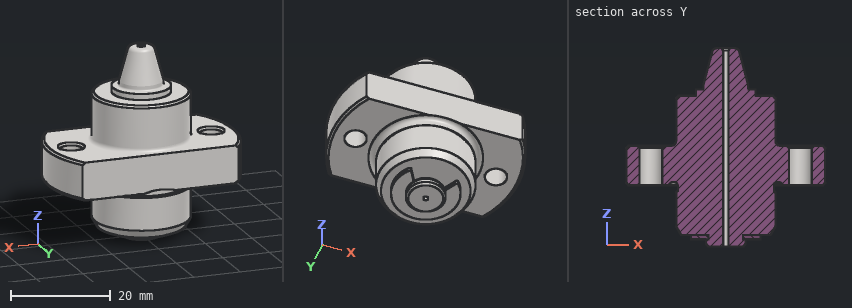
import cadquery as cq
import math


FLANGE_DIAMETER = 40.0
FLANGE_WIDTH = 22.0
FLANGE_THICKNESS = 8.0
EDGE_CHAMFER = 0.5

SCREW_HOLE_SPACING = 30.0
SCREW_HOLE_DIAMETER = 4.5
COUNTERSINK_ANGLE = 90.0

CENTRING_DIAMETER = 20.0
CENTRING_TOP = 18.0
CENTRING_BOTTOM = -10.0
FLANGE_FILLET = 1.0
LEAD_IN_WIDTH = 1.0
LEAD_IN_ANGLE = 30.0

RELIEF_DEPTH = 0.3
RELIEF_RADIUS = 0.8
RELIEF_CENTRE_Z = -0.1
RELIEF_BOTTOM = -1.1

COLLAR_DIAMETER = 12.0
COLLAR_TOP = 19.3
TIP_ROOT_DIAMETER = 9.0
TIP_ROOT_FILLET = 0.4
CONE_BOTTOM = 20.35
CONE_ANGLE = 15.0
TIP_ROUNDING = 1.0
TIP_TOP = 27.6

BORE_DIAMETER = 1.0
MOUTH_DIAMETER = 1.6
MOUTH_ANGLE = 30.0

STUB_DIAMETER = 8.0
STUB_BOTTOM = -12.3
GROOVE_DIAMETER = 7.0

CLIP_DIAMETER = 14.0
CLIP_THICKNESS = 0.85
CLIP_OPENING_ANGLE = 60.0
CLIP_MOUTH_HALF_WIDTH = 3.1
CLIP_CORNER_RADIUS = 0.3

GROOVE_BOTTOM = CENTRING_BOTTOM - CLIP_THICKNESS


def point_on_circle(centre, radius, degrees):
    """Point at the given angle on a circle in a sketch plane."""
    angle = math.radians(degrees)
    return (centre[0] + radius * math.cos(angle), centre[1] + radius * math.sin(angle))


def add_arc(sketch, centre, radius, start_degrees, end_degrees):
    """Draw a line to the start of a circular arc, then the arc itself."""
    middle_degrees = (start_degrees + end_degrees) / 2
    return sketch.lineTo(*point_on_circle(centre, radius, start_degrees)).threePointArc(
        point_on_circle(centre, radius, middle_degrees),
        point_on_circle(centre, radius, end_degrees),
    )


def add_stub(sketch):
    """Outline from the bore up the stub to the centring cylinder's end face."""
    radius = STUB_DIAMETER / 2
    groove_radius = GROOVE_DIAMETER / 2
    return (
        sketch.moveTo(BORE_DIAMETER / 2, STUB_BOTTOM)
        .lineTo(radius - EDGE_CHAMFER, STUB_BOTTOM)
        .lineTo(radius, STUB_BOTTOM + EDGE_CHAMFER)
        .lineTo(radius, GROOVE_BOTTOM)
        .lineTo(groove_radius, GROOVE_BOTTOM)
        .lineTo(groove_radius, CENTRING_BOTTOM)
    )


def add_lower_centring(sketch):
    """Outline of the lower cylinder with its lead-in taper and relief groove."""
    radius = CENTRING_DIAMETER / 2
    relief_floor = radius - RELIEF_DEPTH
    lead_in_height = LEAD_IN_WIDTH / math.tan(math.radians(LEAD_IN_ANGLE))
    relief_centre = (relief_floor + RELIEF_RADIUS, RELIEF_CENTRE_Z)
    relief_rim = relief_centre[0] + RELIEF_RADIUS * math.sqrt(2) + RELIEF_CENTRE_Z
    sketch = (
        sketch.lineTo(radius - LEAD_IN_WIDTH, CENTRING_BOTTOM)
        .lineTo(radius, CENTRING_BOTTOM + lead_in_height)
        .lineTo(radius, RELIEF_BOTTOM - RELIEF_DEPTH)
        .lineTo(relief_floor, RELIEF_BOTTOM)
    )
    return add_arc(sketch, relief_centre, RELIEF_RADIUS, 180, 45).lineTo(relief_rim, 0)


def add_flange(sketch):
    """Outline of the flange disc, chamfered on both edges."""
    radius = FLANGE_DIAMETER / 2
    return (
        sketch.lineTo(radius - EDGE_CHAMFER, 0)
        .lineTo(radius, EDGE_CHAMFER)
        .lineTo(radius, FLANGE_THICKNESS - EDGE_CHAMFER)
        .lineTo(radius - EDGE_CHAMFER, FLANGE_THICKNESS)
    )


def add_upper_centring(sketch):
    """Outline of the upper cylinder, filleted into the flange and chamfered on top."""
    radius = CENTRING_DIAMETER / 2
    fillet_centre = (radius + FLANGE_FILLET, FLANGE_THICKNESS + FLANGE_FILLET)
    return (
        add_arc(sketch, fillet_centre, FLANGE_FILLET, 270, 180)
        .lineTo(radius, CENTRING_TOP - EDGE_CHAMFER)
        .lineTo(radius - EDGE_CHAMFER, CENTRING_TOP)
    )


def add_tip(sketch):
    """Outline of the collar, the conical tip with its rounded end, and the bore mouth."""
    collar_radius = COLLAR_DIAMETER / 2
    root_radius = TIP_ROOT_DIAMETER / 2
    cone_slope = math.tan(math.radians(CONE_ANGLE))
    top_corner_radius = root_radius - (TIP_TOP - CONE_BOTTOM) * cone_slope
    rounding_reach = TIP_ROUNDING * math.tan(math.radians((90 - CONE_ANGLE) / 2))
    rounding_centre = (top_corner_radius - rounding_reach, TIP_TOP - TIP_ROUNDING)
    root_centre = (root_radius + TIP_ROOT_FILLET, COLLAR_TOP + TIP_ROOT_FILLET)
    mouth_depth = (MOUTH_DIAMETER - BORE_DIAMETER) / 2 / math.tan(math.radians(MOUTH_ANGLE))

    sketch = sketch.lineTo(collar_radius, CENTRING_TOP).lineTo(collar_radius, COLLAR_TOP)
    sketch = add_arc(sketch, root_centre, TIP_ROOT_FILLET, 270, 180)
    sketch = sketch.lineTo(root_radius, CONE_BOTTOM)
    sketch = add_arc(sketch, rounding_centre, TIP_ROUNDING, CONE_ANGLE, 90)
    return sketch.lineTo(MOUTH_DIAMETER / 2, TIP_TOP).lineTo(BORE_DIAMETER / 2, TIP_TOP - mouth_depth)


def make_body():
    """Turned body with two flats on its flange and two countersunk screw holes."""
    sketch = add_stub(cq.Workplane("XZ"))
    sketch = add_lower_centring(sketch)
    sketch = add_flange(sketch)
    sketch = add_upper_centring(sketch)
    sketch = add_tip(sketch)
    turned = sketch.close().revolve(360, (0, 0, 0), (0, 1, 0))

    height = TIP_TOP - STUB_BOTTOM
    countersink_diameter = SCREW_HOLE_DIAMETER + 2 * EDGE_CHAMFER
    between_flats = (
        cq.Workplane("XY", origin=(0, 0, STUB_BOTTOM))
        .box(FLANGE_DIAMETER, FLANGE_WIDTH, height, centered=(True, True, False))
    )
    return (
        turned.intersect(between_flats)
        .copyWorkplane(cq.Workplane("XY", origin=(0, 0, FLANGE_THICKNESS)))
        .pushPoints([(side * SCREW_HOLE_SPACING / 2, 0) for side in (-1, 1)])
        .cskHole(SCREW_HOLE_DIAMETER, countersink_diameter, COUNTERSINK_ANGLE, FLANGE_THICKNESS)
    )


def make_clip():
    """Flat ring around the groove, with a flared opening and rounded prong corners."""
    outer_radius = CLIP_DIAMETER / 2
    groove_radius = GROOVE_DIAMETER / 2
    flare = math.tan(math.radians(CLIP_OPENING_ANGLE / 2))
    mouth_y = -math.sqrt(groove_radius**2 - CLIP_MOUTH_HALF_WIDTH**2)
    apex_y = mouth_y + CLIP_MOUTH_HALF_WIDTH / flare
    outer_y = -CLIP_DIAMETER
    inner_half_width = apex_y * flare
    outer_half_width = (apex_y - outer_y) * flare

    plane = cq.Workplane("XY", origin=(0, 0, GROOVE_BOTTOM))
    ring = plane.circle(outer_radius).circle(groove_radius).extrude(CLIP_THICKNESS)
    opening = (
        plane.moveTo(-inner_half_width, 0)
        .lineTo(inner_half_width, 0)
        .lineTo(outer_half_width, outer_y)
        .lineTo(-outer_half_width, outer_y)
        .close()
        .extrude(CLIP_THICKNESS)
    )
    prong_corners = cq.selectors.BoxSelector(
        (-outer_radius, -outer_radius, GROOVE_BOTTOM),
        (outer_radius, -groove_radius, CENTRING_BOTTOM),
    )
    return ring.cut(opening).edges("|Z").edges(prong_corners).fillet(CLIP_CORNER_RADIUS)


body = make_body()
clip = make_clip()
result = cq.Compound.makeCompound([body.solids().val(), clip.solids().val()])